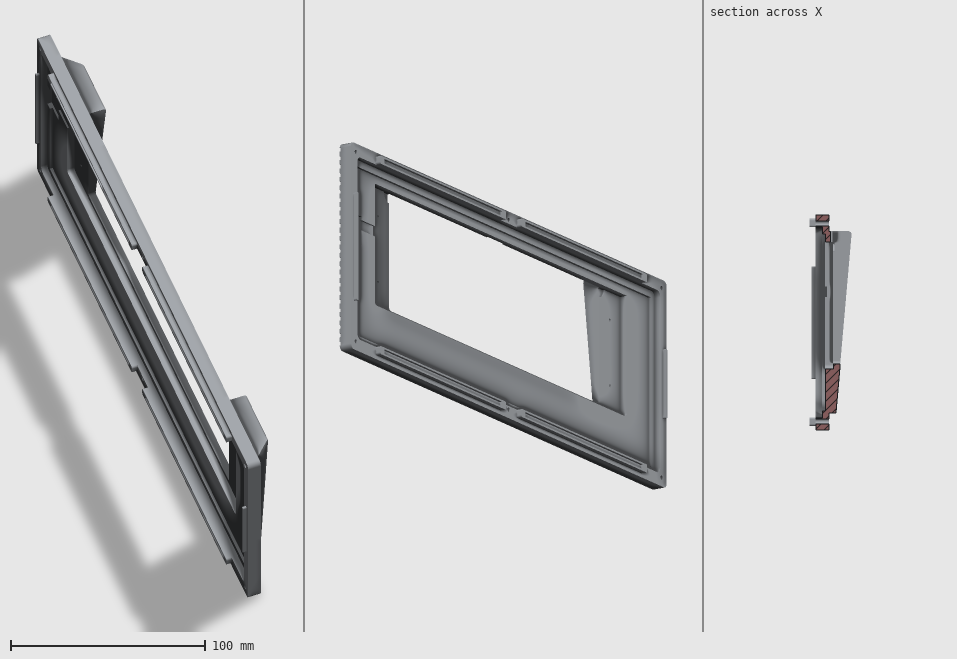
import cadquery as cq
import math


FRAME_LENGTH = 300.65
FRAME_HEIGHT = 110.9
FRAME_DEPTH = 7.0
FRAME_CORNER_RADIUS = 2.5
TOTAL_DEPTH = 21.66

RECESS_MARGIN_X = 6.0
RECESS_MARGIN_Z = 6.57
RECESS_LENGTH = FRAME_LENGTH - 2 * RECESS_MARGIN_X
RECESS_HEIGHT = FRAME_HEIGHT - 2 * RECESS_MARGIN_Z
RECESS_DEPTH = 3.5
RECESS_CORNER_RADIUS = 3.0
LEDGE_WIDTH = 3.55
FLOOR_DEPTH = 5.0

RAIL_LENGTH = 120.0
RAIL_WIDTH = 4.4
RAIL_PROJECTION = 3.0
RAIL_OFFSET_X = 67.2
RAIL_OFFSET_Z = FRAME_HEIGHT / 2 - RECESS_MARGIN_Z + RAIL_WIDTH / 2
RAIL_CORNER_RADIUS = 1.0
RAIL_GROOVE_LENGTH = 112.0
RAIL_GROOVE_WIDTH = 2.5
RAIL_GROOVE_DEPTH = 1.5

RIB_WIDTH = 1.57
RIB_PROJECTION = 2.0
RIB_OFFSET_X = FRAME_LENGTH / 2 - 3.2
LEFT_RIB_LENGTH = 58.0
LEFT_RIB_Z = -0.3
RIGHT_RIB_LENGTH = 37.4
RIGHT_RIB_Z = -0.3

SCREW_DIAMETER = 2.4
SCREW_INSET = 4.6

NOTCH_COUNT = 24
NOTCH_PITCH = 4.53
NOTCH_HEIGHT = 2.0
NOTCH_DEPTH = 0.6
NOTCH_LENGTH = 2.0

HOUSING_PROJECTION = TOTAL_DEPTH - FRAME_DEPTH - RAIL_PROJECTION
HOUSING_BASE_LENGTH = 284.3
HOUSING_HEIGHT = 93.6
HOUSING_TILT = math.radians(5.0)
HOUSING_TOP_RADIUS = 1.6
HOUSING_TOP_LOSS = HOUSING_TOP_RADIUS * (math.tan(HOUSING_TILT) + 1 / math.cos(HOUSING_TILT) - 1)
HOUSING_SHARP_REAR = FRAME_DEPTH + HOUSING_PROJECTION + HOUSING_TOP_LOSS

WINDOW_LENGTH = 200.0
WINDOW_BOTTOM = -21.2
WINDOW_CORNER_RADIUS = 1.5
POCKET_LENGTH = 240.0
POCKET_TOP = 41.2
POCKET_BOTTOM = -23.8
POCKET_FLOOR = 9.0
POCKET_CORNER_RADIUS = 2.0
BACK_PLATE_Y = 8.8
RELIEF_RADIUS = 5.0
RELIEF_DEPTH = 1.0
TOP_NOTCH_LENGTH = 15.0
TOP_NOTCH_DEPTH = 0.9

PILOT_DIAMETER = 1.57
PILOT_DEPTH = 3.0
PILOT_X = 110.5
PILOT_LEVELS = (26.4, -8.9)

CONNECTOR_RIGHT = -132.4
CONNECTOR_BOTTOM = 4.9
CONNECTOR_TOP = 20.2
CHANNEL_BOTTOM = 12.9
CHANNEL_TOP = 18.4
CONNECTOR_DEPTH = 6.0


def block(x_min, x_max, y_min, y_max, z_min, z_max):
    """Box given by its limits on each axis."""
    size = (x_max - x_min, y_max - y_min, z_max - z_min)
    return cq.Workplane("XY").box(*size, centered=False).translate((x_min, y_min, z_min))


def centred_plate(length, height, y_min, y_max):
    """Box centred in X and Z between two depths."""
    return block(-length / 2, length / 2, y_min, y_max, -height / 2, height / 2)


def pin(x, z, diameter, y_min, y_max):
    """Cylinder along Y."""
    circle = cq.Workplane("XZ", origin=(x, y_min, z)).circle(diameter / 2)
    return circle.extrude(y_min - y_max)


def make_frame():
    frame = centred_plate(FRAME_LENGTH, FRAME_HEIGHT, 0, FRAME_DEPTH)
    return frame.edges("|Y").fillet(FRAME_CORNER_RADIUS)


def make_housing():
    """Trapezoid prism with 45 degree ends and a tilted rear face."""
    half_base = HOUSING_BASE_LENGTH / 2
    rear = HOUSING_SHARP_REAR
    half_rear = half_base - (rear - FRAME_DEPTH)
    half_height = HOUSING_HEIGHT / 2
    prism = (
        cq.Workplane("XY", origin=(0, 0, -half_height))
        .polyline([
            (-half_base, FRAME_DEPTH),
            (half_base, FRAME_DEPTH),
            (half_rear, rear),
            (-half_rear, rear),
        ])
        .close()
        .extrude(HOUSING_HEIGHT)
    )
    drop = HOUSING_HEIGHT * math.tan(HOUSING_TILT)
    wedge = (
        cq.Workplane("YZ", origin=(-half_base, 0, 0))
        .polyline([
            (rear, half_height),
            (rear, -half_height),
            (rear - drop, -half_height),
        ])
        .close()
        .extrude(HOUSING_BASE_LENGTH)
    )
    housing = prism.cut(wedge)
    return housing.edges(">Y").fillet(HOUSING_TOP_RADIUS)


def make_rear_opening():
    """Gap between the two wedges, open at the top and the rear."""
    opening = block(
        -WINDOW_LENGTH / 2, WINDOW_LENGTH / 2, BACK_PLATE_Y, TOTAL_DEPTH, WINDOW_BOTTOM, FRAME_HEIGHT
    )
    return opening.edges("|Y and <Z").fillet(WINDOW_CORNER_RADIUS)


def make_top_notch():
    """Shallow notch in the back plate strip above the window."""
    return block(
        -TOP_NOTCH_LENGTH / 2, TOP_NOTCH_LENGTH / 2,
        BACK_PLATE_Y - TOP_NOTCH_DEPTH, BACK_PLATE_Y,
        POCKET_TOP, HOUSING_HEIGHT / 2,
    )


def make_window():
    window = block(
        -WINDOW_LENGTH / 2, WINDOW_LENGTH / 2, 0, TOTAL_DEPTH, WINDOW_BOTTOM, POCKET_TOP
    )
    return window.edges("|Y and <Z").fillet(WINDOW_CORNER_RADIUS)


def make_display_pocket():
    pocket = block(
        -POCKET_LENGTH / 2, POCKET_LENGTH / 2, 0, POCKET_FLOOR, POCKET_BOTTOM, POCKET_TOP
    )
    pocket = pocket.edges("|Y and <Z").fillet(POCKET_CORNER_RADIUS)
    below_top = block(
        -POCKET_LENGTH / 2, POCKET_LENGTH / 2, 0, TOTAL_DEPTH, POCKET_BOTTOM, POCKET_TOP
    )
    for side in (-1, 1):
        relief = pin(
            side * WINDOW_LENGTH / 2, POCKET_TOP, 2 * RELIEF_RADIUS, 0, POCKET_FLOOR + RELIEF_DEPTH
        )
        pocket = pocket.union(relief.intersect(below_top))
    return pocket


def make_recess():
    """Rounded outer step with a deeper inner step."""
    outer = centred_plate(RECESS_LENGTH, RECESS_HEIGHT, 0, RECESS_DEPTH)
    outer = outer.edges("|Y").fillet(RECESS_CORNER_RADIUS)
    inner_length = RECESS_LENGTH - 2 * LEDGE_WIDTH
    inner_height = RECESS_HEIGHT - 2 * LEDGE_WIDTH
    return outer.union(centred_plate(inner_length, inner_height, 0, FLOOR_DEPTH))


def make_connector_recess():
    left = -RECESS_LENGTH / 2
    socket = block(left, CONNECTOR_RIGHT, 0, CONNECTOR_DEPTH, CONNECTOR_BOTTOM, CONNECTOR_TOP)
    channel = block(
        CONNECTOR_RIGHT, -POCKET_LENGTH / 2, 0, CONNECTOR_DEPTH, CHANNEL_BOTTOM, CHANNEL_TOP
    )
    return socket.union(channel)


def make_rail():
    """Grooved rail that stands forward of the front face."""
    rail = centred_plate(RAIL_LENGTH, RAIL_WIDTH, -RAIL_PROJECTION, 0)
    rail = rail.edges("|Y").fillet(RAIL_CORNER_RADIUS)
    groove_floor = RAIL_GROOVE_DEPTH - RAIL_PROJECTION
    return rail.cut(
        centred_plate(RAIL_GROOVE_LENGTH, RAIL_GROOVE_WIDTH, -RAIL_PROJECTION, groove_floor)
    )


def make_rib(x, z, length):
    """Thin upright rib with round ends."""
    slot = cq.Workplane("XZ", origin=(x, 0, z)).slot2D(length, RIB_WIDTH, 90)
    return slot.extrude(RIB_PROJECTION)


def make_edge_notches():
    """Evenly spaced notches, centred on the height of the left back edge."""
    left = -FRAME_LENGTH / 2
    first_z = -NOTCH_PITCH * (NOTCH_COUNT - 1) / 2
    notches = cq.Workplane("XY")
    for index in range(NOTCH_COUNT):
        bottom = first_z + index * NOTCH_PITCH - NOTCH_HEIGHT / 2
        notch = block(
            left, left + NOTCH_LENGTH, FRAME_DEPTH - NOTCH_DEPTH, FRAME_DEPTH, bottom, bottom + NOTCH_HEIGHT
        )
        notches = notches.add(notch)
    return notches.combine()


part = make_frame().union(make_housing())
for cutter in (
    make_rear_opening(),
    make_top_notch(),
    make_recess(),
    make_display_pocket(),
    make_window(),
    make_connector_recess(),
    make_edge_notches(),
):
    part = part.cut(cutter)

for side_x in (-1, 1):
    for side_z in (-1, 1):
        part = part.union(make_rail().translate((side_x * RAIL_OFFSET_X, 0, side_z * RAIL_OFFSET_Z)))
part = part.union(make_rib(-RIB_OFFSET_X, LEFT_RIB_Z, LEFT_RIB_LENGTH))
part = part.union(make_rib(RIB_OFFSET_X, RIGHT_RIB_Z, RIGHT_RIB_LENGTH))

screw_x = FRAME_LENGTH / 2 - SCREW_INSET
screw_z = FRAME_HEIGHT / 2 - SCREW_INSET
for x in (-screw_x, 0, screw_x):
    for z in (-screw_z, screw_z):
        part = part.cut(pin(x, z, SCREW_DIAMETER, 0, FRAME_DEPTH))

for x in (-PILOT_X, PILOT_X):
    for z in PILOT_LEVELS:
        part = part.cut(pin(x, z, PILOT_DIAMETER, POCKET_FLOOR, POCKET_FLOOR + PILOT_DEPTH))

result = part